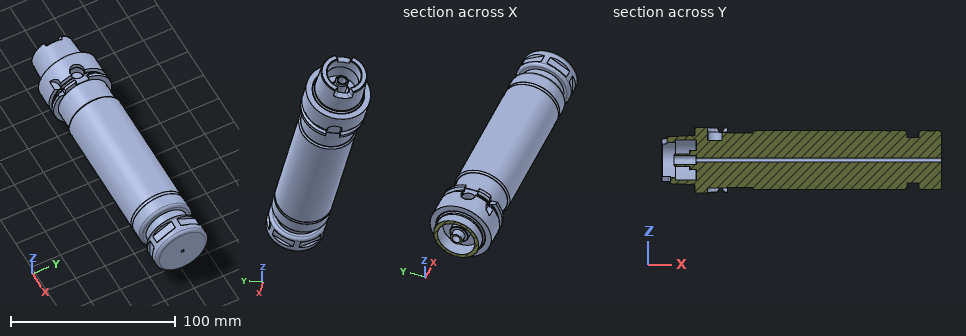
import cadquery as cq

overall_length = 170.0

shank_length = 20.0
shank_front_diameter = 28.4
shank_taper_ratio = 9.98
shank_front_chamfer = 0.5
relief_start = 18.1
relief_end = 19.5
relief_depth = 0.3
face_recess_diameter = 32.4
face_recess_floor_diameter = 31.4
face_recess_depth = 0.2

flange_diameter = 40.0
flange_end = 40.0
groove_diameter = 34.8
groove_shoulder_radius = 18.3
groove_front = 33.9
groove_bottom_front = 34.9
groove_bottom_rear = 36.9
groove_rear = 37.9

neck_diameter = 33.5
body_diameter = 36.0
body_start = 55.0
body_chamfer = 1.0
body_end = 148.8
body_fillet = 1.8

band_start = 136.8
band_end = 138.9
band_depth = 0.1

nut_neck_diameter = 28.0
nut_start = 155.8
nut_diameter = 36.0
nut_fillet = 2.0
flat_count = 6
first_flat_angle = 90.0
flat_distance = 16.45
flat_start = 158.8
flat_end = 164.2
flat_wall_spread = 0.7

bore_diameter = 21.0
bore_chamfer = 0.5
bore_lip_length = 8.5
clamp_groove_diameter = 24.0
bore_depth = 21.0

tube_tip = 7.5
tube_diameter = 8.0
tube_tip_chamfer = 0.75
tube_hole_diameter = 5.0
collar_diameter = 12.0
collar_length = 4.0
collar_chamfer = 0.4
coolant_hole_diameter = 2.0

upper_slot_depth = 3.2
lower_slot_depth = 5.4
slot_inner_height = 9.0
slot_inner_half_width = 3.2
slot_outer_height = 16.0
slot_outer_half_width = 7.5
slot_floor_fillet = 1.2

keyway_center = 32.3
keyway_width = 8.8
keyway_floor = 16.95
access_hole_diameter = 8.4
access_hole_floor = 12.0
notch_corner = 12.0
notch_end_radius = 5.0
notch_end_center = 32.3

shank_radius_slope = 1 / (2 * shank_taper_ratio)


def shank_radius(x):
    """Outside radius of the taper at a distance x from the open end."""
    return shank_front_diameter / 2 + x * shank_radius_slope


def revolve_about_x(profile):
    return profile.close().revolve(360, (0, 0, 0), (1, 0, 0))


def make_outer_body():
    relief_radius = shank_radius(relief_start) - relief_depth
    recess_floor = shank_length + face_recess_depth
    profile = (
        cq.Workplane("XY")
        .lineTo(0, shank_radius(0) - shank_front_chamfer)
        .lineTo(shank_front_chamfer, shank_radius(shank_front_chamfer))
        .lineTo(relief_start, shank_radius(relief_start))
        .lineTo(relief_start + relief_depth, relief_radius)
        .lineTo(relief_end, relief_radius)
        .lineTo(recess_floor, face_recess_floor_diameter / 2)
        .lineTo(shank_length, face_recess_diameter / 2)
        .lineTo(shank_length, flange_diameter / 2)
        .lineTo(groove_front, flange_diameter / 2)
        .lineTo(groove_bottom_front, groove_shoulder_radius)
        .lineTo(groove_bottom_front, groove_diameter / 2)
        .lineTo(groove_bottom_rear, groove_diameter / 2)
        .lineTo(groove_bottom_rear, groove_shoulder_radius)
        .lineTo(groove_rear, flange_diameter / 2)
        .lineTo(flange_end, flange_diameter / 2)
        .lineTo(flange_end, neck_diameter / 2)
        .lineTo(body_start, neck_diameter / 2)
        .lineTo(body_start, body_diameter / 2 - body_chamfer)
        .lineTo(body_start + body_chamfer, body_diameter / 2)
        .lineTo(band_start, body_diameter / 2)
        .lineTo(band_start, body_diameter / 2 - band_depth)
        .lineTo(band_end, body_diameter / 2 - band_depth)
        .lineTo(band_end, body_diameter / 2)
        .lineTo(body_end - body_fillet, body_diameter / 2)
        .radiusArc((body_end, body_diameter / 2 - body_fillet), body_fillet)
        .lineTo(body_end, nut_neck_diameter / 2)
        .lineTo(nut_start, nut_neck_diameter / 2)
        .lineTo(nut_start, nut_diameter / 2 - nut_fillet)
        .radiusArc((nut_start + nut_fillet, nut_diameter / 2), nut_fillet)
        .lineTo(overall_length - nut_fillet, nut_diameter / 2)
        .radiusArc((overall_length, nut_diameter / 2 - nut_fillet), nut_fillet)
        .lineTo(overall_length, 0)
    )
    return revolve_about_x(profile)


def make_bore():
    lip_radius = bore_diameter / 2
    groove_radius = clamp_groove_diameter / 2
    profile = (
        cq.Workplane("XY")
        .lineTo(0, lip_radius + bore_chamfer)
        .lineTo(bore_chamfer, lip_radius)
        .lineTo(bore_lip_length, lip_radius)
        .lineTo(bore_lip_length, groove_radius)
        .lineTo(bore_depth, groove_radius)
        .lineTo(bore_depth, 0)
    )
    return revolve_about_x(profile)


def make_coolant_tube():
    collar_start = bore_depth - collar_length
    tube_radius = tube_diameter / 2
    collar_radius = collar_diameter / 2
    profile = (
        cq.Workplane("XY")
        .moveTo(tube_tip, 0)
        .lineTo(tube_tip, tube_radius - tube_tip_chamfer)
        .lineTo(tube_tip + tube_tip_chamfer, tube_radius)
        .lineTo(collar_start, tube_radius)
        .lineTo(collar_start, collar_radius - collar_chamfer)
        .lineTo(collar_start + collar_chamfer, collar_radius)
        .lineTo(bore_depth, collar_radius)
        .lineTo(bore_depth, 0)
    )
    return revolve_about_x(profile)


def make_axial_hole(diameter, start, end):
    return cq.Workplane("YZ", origin=(start, 0, 0)).circle(diameter / 2).extrude(end - start)


def make_drive_slot(depth, side):
    """Flared slot through the shank wall; side is +1 for the top and -1 for the bottom."""
    return (
        cq.Workplane("YZ")
        .moveTo(-slot_inner_half_width, side * slot_inner_height)
        .lineTo(slot_inner_half_width, side * slot_inner_height)
        .lineTo(slot_outer_half_width, side * slot_outer_height)
        .lineTo(-slot_outer_half_width, side * slot_outer_height)
        .close()
        .extrude(depth)
        .faces(">X")
        .edges("not |Y")
        .fillet(slot_floor_fillet)
    )


def make_keyway():
    """Slot in the top of the flange with a round front end, open at the rear."""
    depth = flange_diameter / 2 - keyway_floor
    floor = cq.Workplane("XY", origin=(keyway_center, 0, keyway_floor))
    round_end = floor.circle(keyway_width / 2).extrude(depth)
    straight = floor.box(
        flange_end - keyway_center, keyway_width, depth, centered=(False, True, False)
    )
    return round_end.union(straight)


def make_access_hole():
    return (
        cq.Workplane("XY", origin=(keyway_center, 0, access_hole_floor))
        .circle(access_hole_diameter / 2)
        .extrude(flange_diameter / 2 - access_hole_floor)
    )


def make_notch():
    """Square corner cut from the flange edge, with a rounded front end."""
    notch_start = notch_end_center - notch_end_radius
    outer = flange_diameter / 2
    return (
        cq.Workplane("XY", origin=(0, 0, notch_corner))
        .moveTo(notch_start, -outer)
        .lineTo(notch_start, -notch_corner - notch_end_radius)
        .radiusArc((notch_end_center, -notch_corner), notch_end_radius)
        .lineTo(flange_end, -notch_corner)
        .lineTo(flange_end, -outer)
        .close()
        .extrude(outer - notch_corner)
    )


def make_wrench_flat(angle):
    """Flat on the nut whose two end walls lean outward up to the nut surface."""
    nut_radius = nut_diameter / 2
    return (
        cq.Workplane("XZ", origin=(0, nut_radius, 0))
        .moveTo(flat_start, flat_distance)
        .lineTo(flat_end, flat_distance)
        .lineTo(flat_end + flat_wall_spread, nut_radius)
        .lineTo(flat_start - flat_wall_spread, nut_radius)
        .close()
        .extrude(nut_diameter)
        .rotate((0, 0, 0), (1, 0, 0), angle)
    )


result = make_outer_body().cut(make_bore()).union(make_coolant_tube())
result = result.cut(make_axial_hole(tube_hole_diameter, tube_tip, bore_depth))
result = result.cut(make_axial_hole(coolant_hole_diameter, 0, overall_length))
result = result.cut(make_drive_slot(upper_slot_depth, 1))
result = result.cut(make_drive_slot(lower_slot_depth, -1))
result = result.cut(make_keyway())
result = result.cut(make_keyway().mirror("XY"))
result = result.cut(make_access_hole())
result = result.cut(make_notch())
for index in range(flat_count):
    result = result.cut(make_wrench_flat(first_flat_angle + index * 360 / flat_count))